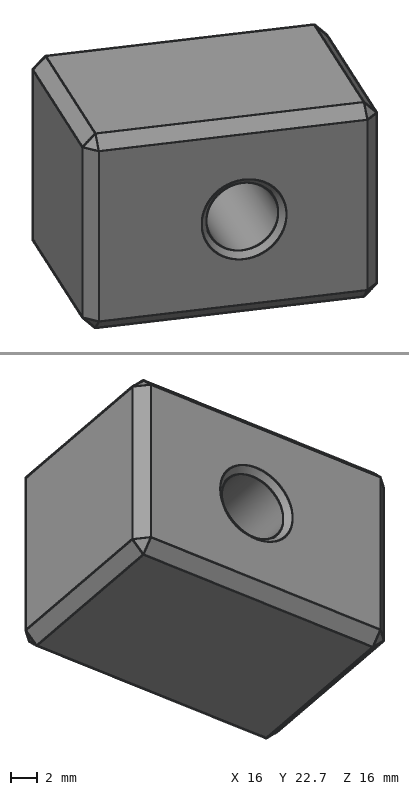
import cadquery as cq

width = 16.0
length = 22.7
height = 16.0
edge_chamfer = 1.0

hole_diameter = 5.55
countersink = 0.5
hole_to_back = 10.51
hole_y = length / 2 - hole_to_back


def chamfered_block():
    return cq.Workplane("XY").box(width, length, height).edges().chamfer(edge_chamfer)


def cross_hole():
    """Cutter for the through hole, flared at both ends by the countersinks."""
    half_width = width / 2
    radius = hole_diameter / 2
    mouth_radius = radius + countersink
    profile = (
        cq.Workplane("XY")
        .moveTo(-half_width, 0)
        .lineTo(-half_width, mouth_radius)
        .lineTo(-half_width + countersink, radius)
        .lineTo(half_width - countersink, radius)
        .lineTo(half_width, mouth_radius)
        .lineTo(half_width, 0)
        .close()
    )
    return profile.revolve(360, (0, 0, 0), (1, 0, 0)).translate((0, hole_y, 0))


result = chamfered_block().cut(cross_hole())